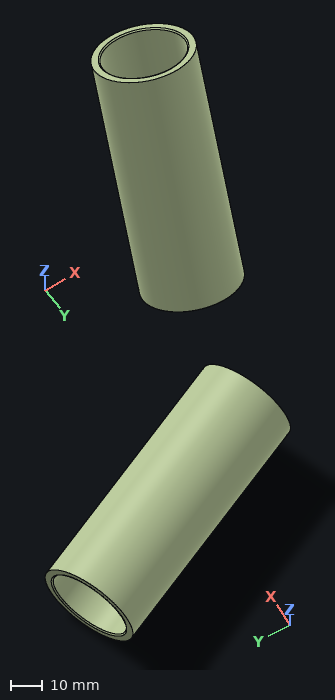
import cadquery as cq
import math

outer_diameter = 34.0
bore_diameter = 28.2
tilt_angle = 24.0
overall_depth = 93.3

tilt = math.radians(tilt_angle)
tube_length = (overall_depth - outer_diameter * math.sin(tilt)) / math.cos(tilt)

mouth_chamfer = 0.5


def make_tube():
    """Straight tube centred on the origin with its axis along Y."""
    tube = (
        cq.Workplane("XZ", origin=(0, tube_length / 2, 0))
        .circle(outer_diameter / 2)
        .circle(bore_diameter / 2)
        .extrude(tube_length)
    )
    bore_edges = cq.selectors.RadiusNthSelector(0)
    return tube.edges("%CIRCLE").edges(bore_edges).chamfer(mouth_chamfer)


result = make_tube().rotate((0, 0, 0), (0, 0, 1), tilt_angle)